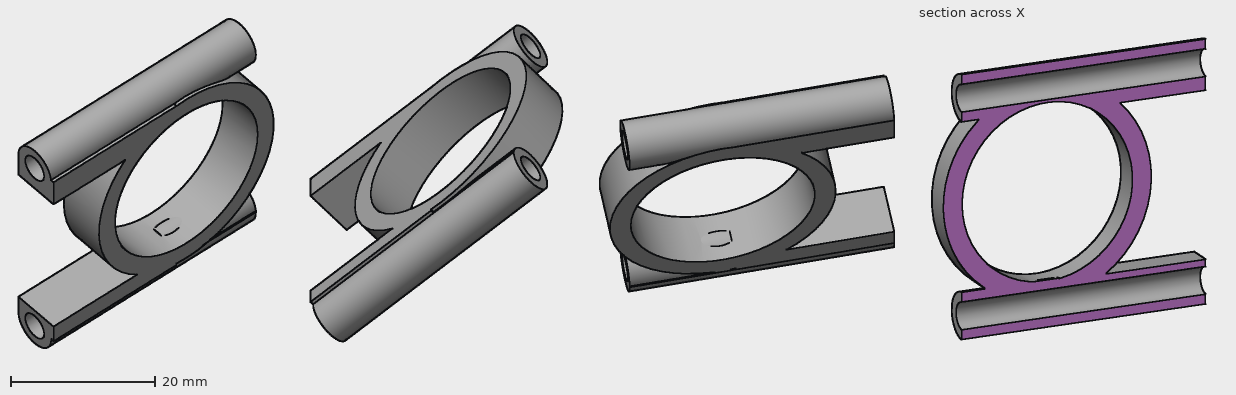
import cadquery as cq

length = 40.2
width = 7.5
height = 38.75

tube_diameter = 7.0
tube_length = 37.4
tube_bore = 4.0
tube_radius = tube_diameter / 2
tube_offset = height / 2 - tube_radius

ring_diameter = 31.9
ring_bore = 26.0
ring_z = 0.4
ring_y = length - ring_diameter / 2

upper_rail_bottom = 11.8
upper_rail_top = 16.3
lower_rail_bottom = -15.75
lower_rail_top = -12.8
flat_height = 0.25
rail_setback = 1.8
rail_length = ring_y - rail_setback


def cylinder_along_y(diameter, z):
    """Cylinder of tube length, starting at the front face."""
    return (
        cq.Workplane("XZ", origin=(tube_radius, 0, z))
        .circle(diameter / 2)
        .extrude(-tube_length)
    )


def disc_along_x(diameter):
    """Full-width disc about the ring axis."""
    return (
        cq.Workplane("YZ", origin=(0, ring_y, ring_z))
        .circle(diameter / 2)
        .extrude(width)
    )


def front_block(bottom, top):
    """Full-width block from the front face to within the ring."""
    return (
        cq.Workplane("XY", origin=(0, 0, bottom))
        .box(width, rail_length, top - bottom, centered=False)
    )


upper_tube = cylinder_along_y(tube_diameter, tube_offset)
upper_arm = upper_tube.union(front_block(upper_rail_bottom, upper_rail_top))

lower_tube = cylinder_along_y(tube_diameter, -tube_offset).cut(front_block(lower_rail_top, 0))
lower_arm = lower_tube.union(front_block(lower_rail_bottom, lower_rail_top))

side_flats = (
    cq.Workplane("XY", origin=(0, 0, lower_rail_bottom))
    .box(tube_diameter, tube_length, flat_height, centered=False)
)
lower_arm = lower_arm.union(side_flats)

result = disc_along_x(ring_diameter).union(upper_arm)
result = result.cut(disc_along_x(ring_bore)).union(lower_arm)

for side in (-1, 1):
    result = result.cut(cylinder_along_y(tube_bore, side * tube_offset))